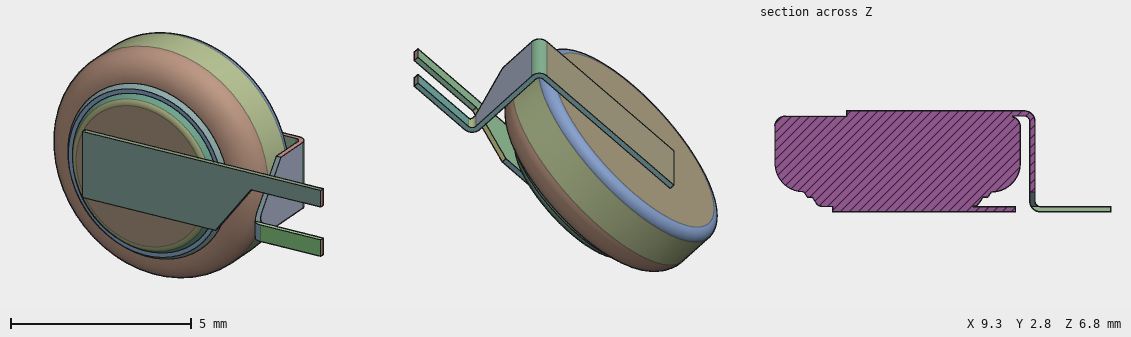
import cadquery as cq

total_length = 9.3
cell_diameter = 6.8
cell_depth = 2.5

rear_round = 0.3
front_round = 0.8
can_depth = 2.1
gasket_depth = 0.15
gasket_front_radius = 2.49
cap_base_radius = 2.36
cap_front_radius = 2.195
cap_round = 0.195

sheet = 0.15
tab_width = 2.0
leg_width = 0.5
front_tab_start = -1.795
front_taper_start = 2.5
front_taper_end = 3.65
rear_tab_start = -1.4
riser_outer_x = 3.8
riser_taper_depth = 1.3
bend_inner = 0.15

cell_radius = cell_diameter / 2
tab_end = total_length - cell_radius
half_width = tab_width / 2
bend_outer = bend_inner + sheet
tab_front_y = -cell_depth - sheet


def make_cell():
    """Revolve the can and cap profile about Y, then round its edges."""
    gasket_front = can_depth + gasket_depth
    profile = (
        cq.Workplane("XY")
        .lineTo(cell_radius, 0)
        .lineTo(cell_radius, front_round - can_depth)
        .radiusArc((cell_radius - front_round, -can_depth), front_round)
        .lineTo(gasket_front_radius, -gasket_front)
        .lineTo(cap_base_radius, -gasket_front)
        .lineTo(cap_front_radius, -cell_depth)
        .lineTo(0, -cell_depth)
        .close()
    )
    cell = profile.revolve(360, (0, 0), (0, 1))
    return cell.faces(">Y").edges().fillet(rear_round).faces("<Y").edges().fillet(cap_round)


def make_front_tab():
    """Flat tab on the cap, tapering from below into a narrow upper leg."""
    leg_bottom = half_width - leg_width
    outline = [
        (front_tab_start, -half_width),
        (front_taper_start, -half_width),
        (front_taper_end, leg_bottom),
        (tab_end, leg_bottom),
        (tab_end, half_width),
        (front_tab_start, half_width),
    ]
    return cq.Workplane("XZ", origin=(0, -cell_depth, 0)).polyline(outline).close().extrude(sheet)


def make_rear_tab():
    """Z-bent strip from the rear face to a lower leg level with the front tab."""
    riser_inner_x = riser_outer_x - sheet
    strip = (
        cq.Workplane("XY", origin=(0, 0, -half_width))
        .moveTo(rear_tab_start, 0)
        .lineTo(riser_inner_x - bend_inner, 0)
        .radiusArc((riser_inner_x, -bend_inner), bend_inner)
        .lineTo(riser_inner_x, tab_front_y + bend_outer)
        .radiusArc((riser_inner_x + bend_outer, tab_front_y), -bend_outer)
        .lineTo(tab_end, tab_front_y)
        .lineTo(tab_end, -cell_depth)
        .lineTo(riser_outer_x + bend_inner, -cell_depth)
        .radiusArc((riser_outer_x, bend_inner - cell_depth), bend_inner)
        .lineTo(riser_outer_x, sheet - bend_outer)
        .radiusArc((riser_outer_x - bend_outer, sheet), -bend_outer)
        .lineTo(rear_tab_start, sheet)
        .close()
        .extrude(tab_width)
    )
    leg_top = leg_width - half_width
    waste = (
        cq.Workplane("YZ")
        .moveTo(-riser_taper_depth, half_width)
        .lineTo(-cell_depth, leg_top)
        .lineTo(tab_front_y, leg_top)
        .lineTo(tab_front_y, half_width)
        .close()
        .extrude(tab_end)
    )
    return strip.cut(waste)


result = make_cell().union(make_front_tab()).union(make_rear_tab())